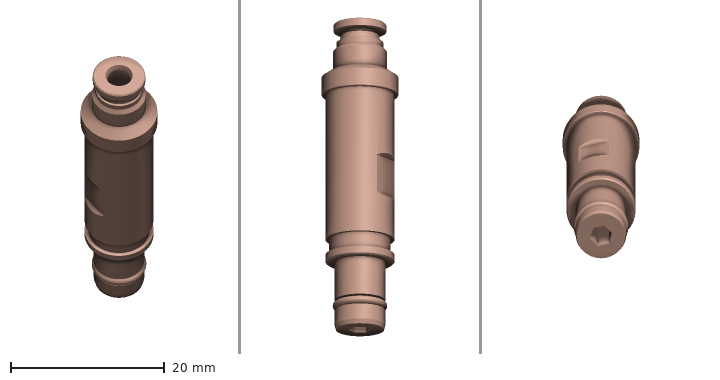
import cadquery as cq
import math

length = 41.2
tip_chamfer_height = 0.6
seal_groove_bottom = 2.65
seal_groove_top = 3.95
flange_bottom = 9.02
flange_top = 10.1
body_bottom = 12.15
collar_bottom = 31.6
collar_top = 34.0
shoulder_bottom = 34.98
shoulder_chamfer_bottom = 37.45
step_bottom = 37.95
cone_bottom = 38.7
cone_top = 39.68
button_bottom = 40.15

stem_radius = 3.3
tip_radius = 3.15
seal_groove_radius = 2.5
body_radius = 4.5
undercut_radius = 4.0
collar_radius = 5.0
shoulder_radius = 3.5
step_radius = 3.05
cone_bottom_radius = 2.75
cone_top_radius = 2.45
neck_bottom_radius = 1.75
neck_top_radius = 1.98
button_radius = 3.4

flange_chamfer = 0.15
collar_chamfer = 0.1
button_chamfer = 0.15

seal_outer_radius = 3.55
seal_center_z = 3.2
seal_overlap = 0.02

flat_offset = 4.0
flat_bottom = 17.6
flat_top = 22.58

bore_diameter = 3.0
bore_depth = 6.2
hex_across_flats = 2.55
countersink_diameter = 3.55
countersink_depth = 0.6


def make_turned_body():
    outline = [
        (0, 0),
        (tip_radius, 0),
        (stem_radius, tip_chamfer_height),
        (stem_radius, seal_groove_bottom),
        (seal_groove_radius, seal_groove_bottom),
        (seal_groove_radius, seal_groove_top),
        (stem_radius, seal_groove_top),
        (stem_radius, flange_bottom),
        (body_radius - flange_chamfer, flange_bottom),
        (body_radius, flange_bottom + flange_chamfer),
        (body_radius, flange_top),
        (undercut_radius, flange_top),
        (undercut_radius, body_bottom),
        (body_radius, body_bottom),
        (body_radius, collar_bottom),
        (collar_radius - collar_chamfer, collar_bottom),
        (collar_radius, collar_bottom + collar_chamfer),
        (collar_radius, collar_top),
        (shoulder_radius, shoulder_bottom),
        (shoulder_radius, shoulder_chamfer_bottom),
        (step_radius, step_bottom),
        (step_radius, cone_bottom),
        (cone_bottom_radius, cone_bottom),
        (cone_top_radius, cone_top),
        (neck_bottom_radius, cone_top),
        (neck_top_radius, button_bottom),
        (button_radius, button_bottom),
        (button_radius, length - button_chamfer),
        (button_radius - button_chamfer, length),
        (0, length),
    ]
    return cq.Workplane("XZ").polyline(outline).close().revolve(360, (0, 0, 0), (0, 1, 0))


def make_seal_ring():
    section_radius = (seal_outer_radius - seal_groove_radius + seal_overlap) / 2
    center_radius = seal_outer_radius - section_radius
    section = cq.Workplane("XZ").center(center_radius, seal_center_z).circle(section_radius)
    return section.revolve(360, (-center_radius, 0, 0), (-center_radius, 1, 0))


def make_flat_cutter(side):
    ramp = collar_radius - flat_offset
    outline = [
        (side * flat_offset, flat_bottom),
        (side * collar_radius, flat_bottom - ramp),
        (side * collar_radius, flat_top + ramp),
        (side * flat_offset, flat_top),
    ]
    return cq.Workplane("YZ").polyline(outline).close().extrude(collar_radius, both=True)


def make_passage():
    corner_diameter = hex_across_flats / math.cos(math.pi / 6)
    hexagon = cq.Workplane("XY").polygon(6, corner_diameter).extrude(length)
    bore_outline = [
        (0, length - bore_depth),
        (bore_diameter / 2, length - bore_depth),
        (bore_diameter / 2, length - countersink_depth),
        (countersink_diameter / 2, length),
        (0, length),
    ]
    bore = cq.Workplane("XZ").polyline(bore_outline).close().revolve(360, (0, 0, 0), (0, 1, 0))
    return hexagon.union(bore)


result = make_turned_body().union(make_seal_ring())
for side in (-1, 1):
    result = result.cut(make_flat_cutter(side))
result = result.cut(make_passage())